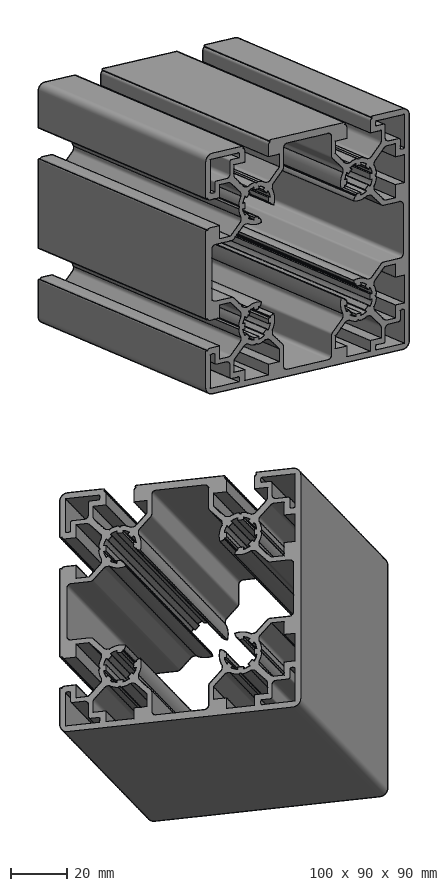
import cadquery as cq

LENGTH = 100.0
SIDE = 90.0
CORNER_RADIUS = 3.0
HALF = SIDE / 2
CORE = SIDE / 4

SLOT_HALF_WIDTH = 5.2
BEAD_START = (6.3, 0.0)
BEAD_CREST = (5.9, 0.13)
BEAD_END = (5.7, 0.45)
STEP_ROOT = (6.0, 0.8)
ROUND_CREST = (5.5, 1.15)
ROUND_END = (SLOT_HALF_WIDTH, 1.9)
LIP_DEPTH = 6.2
CAVITY_HALF_WIDTH = 10.1
COVER_WALL = 2.2

CHAMBER_WEB_OFFSET = 1.45
CORNER_WEB_OFFSET = 1.75
WEB_ROOT_FILLET = 1.5
CORNER_WEB_SHOULDER_FILLET = 2.0
CHAMBER_WEB_SHOULDER_FILLET = 1.5
CORE_HALF = 6.9
COLLAR_RADIUS = 7.95
NOTCH_WIDTH = 1.3
NOTCH_DEPTH = 0.45

BORE_RADIUS = 6.15
TOOTH_RADIUS = 5.15
TOOTH_WIDTH = 2.2
TOOTH_COUNT = 8
GAP_START = 0.5
GAP_END = 2.2
COLLAR_END_BULGE = (6.3, 1.65)

CHAMBER_WALL = 2.7
CHAMBER_FILLET = 1.6
CAVITY_WALL = 1.8

HOLLOW_SIZE = 10.75
HOLLOW_ARM_LENGTH = 14.7
HOLLOW_ARM_DEPTH = 4.05
HOLLOW_ARM_FILLET = 0.7
HOLLOW_CORNER_FILLET = 1.6
HOLLOW_END_BULGE = 0.3

SECTION = cq.Workplane("YZ", origin=(-LENGTH / 2, 0, 0))
CORE_SECTION = SECTION.center(CORE, CORE)


def turned(shape, quarter_turns):
    """Turn a shape about the profile axis in 90 degree steps."""
    return shape.rotate((0, 0, 0), (1, 0, 0), 90 * quarter_turns)


def fillet_edges(shape, points, radius):
    """Round the lengthwise edges that pass through the given (y, z) section points."""
    for y, z in points:
        shape = shape.edges(cq.selectors.NearestToPointSelector((0, y, z))).fillet(radius)
    return shape


def slot_mouth(covered):
    """Void between the lips of a slot: plain below a skin, or edged with beads and rounds."""
    face = HALF - CORE
    lip = face - LIP_DEPTH
    if covered:
        height = LIP_DEPTH - COVER_WALL
        return CORE_SECTION.center(0, lip + height / 2).rect(2 * SLOT_HALF_WIDTH, height).extrude(LENGTH)

    def right(point):
        return point[0], face - point[1]

    def left(point):
        return -point[0], face - point[1]

    return (
        CORE_SECTION.moveTo(*left(BEAD_START))
        .threePointArc(left(BEAD_CREST), left(BEAD_END))
        .lineTo(*left(STEP_ROOT))
        .threePointArc(left(ROUND_CREST), left(ROUND_END))
        .lineTo(-SLOT_HALF_WIDTH, lip)
        .lineTo(SLOT_HALF_WIDTH, lip)
        .lineTo(*right(ROUND_END))
        .threePointArc(right(ROUND_CREST), right(STEP_ROOT))
        .lineTo(*right(BEAD_END))
        .threePointArc(right(BEAD_CREST), right(BEAD_START))
        .close()
        .extrude(LENGTH)
    )


def slot(covered):
    """T-slot void in the +Z face over the core at +Y, with its mirrored partner at -Y."""
    lip = HALF - CORE - LIP_DEPTH
    inner_floor = -(CORE_HALF - CHAMBER_WEB_OFFSET)
    outer_floor = CORE_HALF - CORNER_WEB_OFFSET
    cavity = (
        CORE_SECTION.moveTo(inner_floor, CORE_HALF)
        .lineTo(outer_floor, CORE_HALF)
        .lineTo(CAVITY_HALF_WIDTH, CAVITY_HALF_WIDTH + CORNER_WEB_OFFSET)
        .lineTo(CAVITY_HALF_WIDTH, lip)
        .lineTo(-CAVITY_HALF_WIDTH, lip)
        .lineTo(-CAVITY_HALF_WIDTH, CAVITY_HALF_WIDTH + CHAMBER_WEB_OFFSET)
        .close()
        .extrude(LENGTH)
    )
    roots = [(CORE + inner_floor, CORE + CORE_HALF), (CORE + outer_floor, CORE + CORE_HALF)]
    shoulder = (CORE + CAVITY_HALF_WIDTH, CORE + CAVITY_HALF_WIDTH + CORNER_WEB_OFFSET)
    cavity = fillet_edges(cavity, roots, WEB_ROOT_FILLET)
    cavity = fillet_edges(cavity, [shoulder], CORNER_WEB_SHOULDER_FILLET)
    void = cavity.union(slot_mouth(covered))
    return void.union(void.mirror("XZ"))


def corner_hollow():
    """L-shaped void behind the outer corner at +Y +Z, with shallow rounded arm ends."""
    wall = HALF - COVER_WALL
    arm_end = HALF - HOLLOW_ARM_LENGTH
    arm_side = HALF - HOLLOW_ARM_DEPTH
    inner = HALF - HOLLOW_SIZE
    arm_middle = (wall + arm_side) / 2
    bulge = arm_end - HOLLOW_END_BULGE
    void = (
        SECTION.moveTo(wall, wall)
        .lineTo(arm_end, wall)
        .threePointArc((bulge, arm_middle), (arm_end, arm_side))
        .lineTo(inner, arm_side)
        .lineTo(inner, inner)
        .lineTo(arm_side, inner)
        .lineTo(arm_side, arm_end)
        .threePointArc((arm_middle, bulge), (wall, arm_end))
        .close()
        .extrude(LENGTH)
    )
    void = fillet_edges(void, [(inner, arm_side), (arm_side, inner)], HOLLOW_ARM_FILLET)
    return fillet_edges(void, [(inner, inner)], HOLLOW_CORNER_FILLET)


def all_quarters(points):
    """Repeat (y, z) section points in order through four clockwise quarter turns."""
    repeated = []
    for _ in range(4):
        repeated.extend(points)
        points = [(z, -y) for y, z in points]
    return repeated


def chamber():
    """Central void reaching the outer walls between the cores and into each core."""
    wall = HALF - CHAMBER_WALL
    side = CORE - CAVITY_HALF_WIDTH - CAVITY_WALL
    web_start = HALF - side - CHAMBER_WEB_OFFSET
    core_side = CORE - CORE_HALF
    web_end = CORE + CORE_HALF - CHAMBER_WEB_OFFSET
    quarter = [
        (side, wall),
        (side, web_start),
        (core_side, web_end),
        (core_side, CORE),
        (CORE, core_side),
        (web_end, core_side),
        (web_start, side),
        (wall, side),
    ]
    wall_corners = [(side, wall), (wall, side)]
    web_shoulders = [(side, web_start), (web_start, side)]
    web_roots = [(core_side, web_end), (web_end, core_side)]
    void = SECTION.polyline(all_quarters(quarter)).close().extrude(LENGTH)
    void = fillet_edges(void, all_quarters(wall_corners), CHAMBER_FILLET)
    void = fillet_edges(void, all_quarters(web_shoulders), CHAMBER_WEB_SHOULDER_FILLET)
    return fillet_edges(void, all_quarters(web_roots), WEB_ROOT_FILLET)


def collar():
    """Solid round collar of the core at +Y +Z, before its bore and gap are cut."""
    return CORE_SECTION.circle(COLLAR_RADIUS).extrude(LENGTH)


def collar_notches():
    """V-notches along the two collar crests that face the slots."""
    crest = COLLAR_RADIUS
    notch = (
        CORE_SECTION.moveTo(-NOTCH_WIDTH / 2, crest)
        .lineTo(NOTCH_WIDTH / 2, crest)
        .lineTo(0, crest - NOTCH_DEPTH)
        .close()
        .extrude(LENGTH)
    )
    axis_start = (0, CORE, CORE)
    axis_end = (1, CORE, CORE)
    return notch.union(notch.rotate(axis_start, axis_end, -90))


def toothed_bore():
    """Bore of the core at +Y +Z, less the teeth standing inward from its wall."""
    void = CORE_SECTION.circle(BORE_RADIUS).extrude(LENGTH)
    tooth_length = COLLAR_RADIUS - TOOTH_RADIUS
    tooth_centre = TOOTH_RADIUS + tooth_length / 2
    tooth = CORE_SECTION.center(tooth_centre, 0).rect(tooth_length, TOOTH_WIDTH).extrude(LENGTH)
    for index in range(TOOTH_COUNT):
        angle = 360 / TOOTH_COUNT * index
        void = void.cut(tooth.rotate((0, CORE, CORE), (1, CORE, CORE), angle))
    return void


def collar_gap():
    """Gap through the collar at +Y +Z towards the profile axis."""
    bulge_y, bulge_z = COLLAR_END_BULGE
    return (
        CORE_SECTION.moveTo(0, 0)
        .lineTo(-TOOTH_RADIUS, -GAP_START)
        .threePointArc((-bulge_y, -bulge_z), (-COLLAR_RADIUS, -GAP_END))
        .lineTo(-COLLAR_RADIUS, -COLLAR_RADIUS)
        .lineTo(-GAP_END, -COLLAR_RADIUS)
        .threePointArc((-bulge_z, -bulge_y), (-GAP_START, -TOOTH_RADIUS))
        .close()
        .extrude(LENGTH)
    )


result = SECTION.rect(SIDE, SIDE).extrude(LENGTH).edges("|X").fillet(CORNER_RADIUS)
result = result.cut(chamber())

for quarter_turns, covered in enumerate([False, False, True, True]):
    result = result.cut(turned(slot(covered), quarter_turns))

core_voids = collar_notches().union(toothed_bore()).union(collar_gap())
for quarter_turns in range(4):
    result = result.cut(turned(corner_hollow(), quarter_turns))
    result = result.union(turned(collar(), quarter_turns))
    result = result.cut(turned(core_voids, quarter_turns))